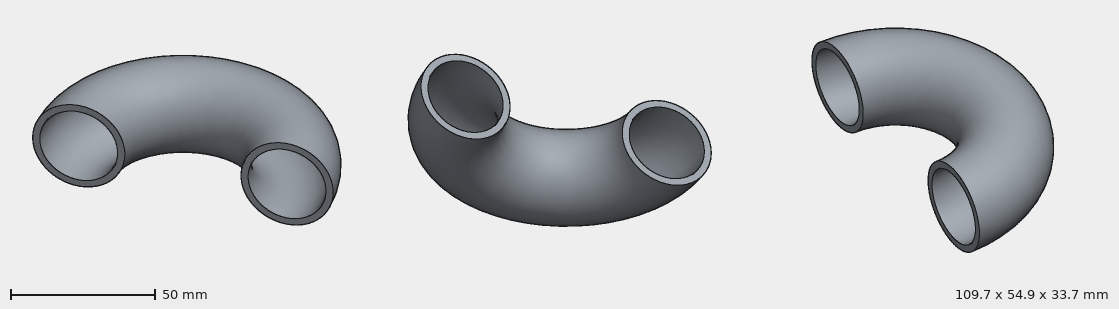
import cadquery as cq

overall_width = 109.7
tube_diameter = 33.7
wall_thickness = 2.6
bend_angle = 180.0

bore_diameter = tube_diameter - 2 * wall_thickness
bend_radius = (overall_width - tube_diameter) / 2


tube_section = (
    cq.Workplane("XZ")
    .center(bend_radius, 0)
    .circle(tube_diameter / 2)
    .circle(bore_diameter / 2)
)

axis_start = (-bend_radius, 0)
axis_end = (-bend_radius, 1)
result = tube_section.revolve(bend_angle, axis_start, axis_end)